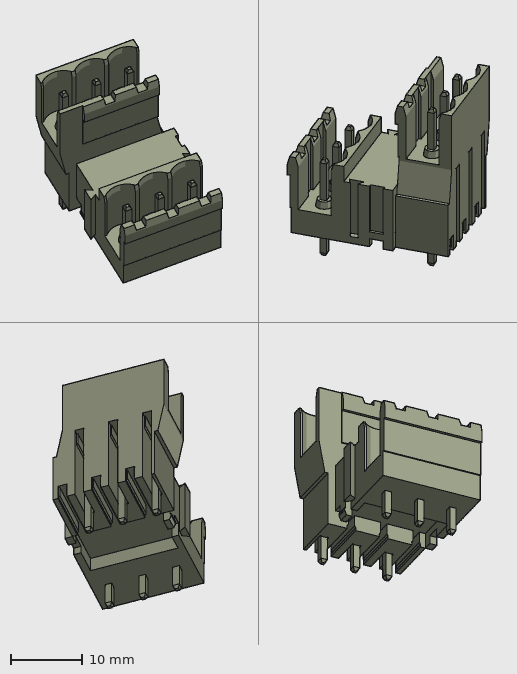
import cadquery as cq

PITCH = 5.08
PIN_COUNT = 3
ROW_LENGTH = PIN_COUNT * PITCH
SHIFT_X = 3 * PITCH
SHIFT_Y = PITCH / 2
TOP_Z = 22.0
DROP_Z = 9.8

FLOOR_Z = 13.7
PIN_X = 3.87
SOCKET_WIDTH = 7.9
LEFT_WALL = 1.9
LEFT_LEAD_WIDTH = 0.28
LEFT_LEAD_HEIGHT = 0.95
SCALLOP_RADIUS = 2.97
SCALLOP_CHORD_MARGIN = 0.32
RIGHT_WALL_X = 6.85
RIGHT_LEAD_WIDTH = 0.41
RIGHT_LEAD_HEIGHT = 1.5
WALL_GROOVE_WIDTH = 2.0
RIB_X = 8.09
RIB_BOTTOM_Z = 13.8
HOOK_X = 8.5
HOOK_BOTTOM_Z = 19.0
HOOK_LEAD_WIDTH = 0.36
HOOK_LEAD_HEIGHT = 1.3
UPPER_HOOK_START_Y = 3.5
NOTCH_DEPTH = 1.0
NOTCH_BOTTOM_WIDTH = 1.42
NOTCH_TOP_WIDTH = 1.8

PIN_SIZE = 1.0
PIN_TIP_SIZE = 0.5
PIN_TIP_HEIGHT = 0.5
PIN_TOP_GAP = 0.85
PIN_BOTTOM_Z = -4.1
HUB_BOTTOM_RADIUS = 1.24
HUB_TOP_RADIUS = 1.02
HUB_HEIGHT = 1.05

SHEAR_TOP_Z = 13.2
SHEAR_BOTTOM_Z = 8.3
SHEAR_OFFSET = 0.9
PEDESTAL_OFFSET = 1.42

SLOT_WIDTH = 1.34
SLOT_FLARE_HEIGHT = 0.3
TALL_SLOT_TOP_Z = 12.5
TALL_SLOT_FLARE_Z = 10.35
TALL_SLOT_DEPTH = 0.75
SHORT_SLOT_FLARE_Z = 0.45
SHORT_SLOT_DEPTH = 0.3

LINK_TOP_Z = 9.75
CAVITY_TOP_Z = 2.4
CAVITY_WALL = 1.0
CUTOUT_END_X = 12.85

LATCH_START_X = 9.42
LATCH_END_X = 11.2
NOSE_REACH = 0.15
NOSE_TOP_Z = 1.1
NOSE_EDGE_Z = 0.7
NOSE_UNDERCUT = 0.27
RECEIVER_START_X = 9.33
RECEIVER_END_X = 11.4
RECEIVER_TOP_Z = 1.28
RECEIVER_NOTCH_DEPTH = 0.45
DOVETAIL_X = 13.7
DOVETAIL_BOTTOM_Z = 1.1
DOVETAIL_TIP_WIDTH = 2.08
DOVETAIL_NECK_WIDTH = 0.9
DOVETAIL_DEPTH = 1.02
GROOVE_TIP_WIDTH = 2.14
GROOVE_NECK_WIDTH = 1.12
GROOVE_DEPTH = 0.92

LINK_FRONT_Y = SHIFT_Y
LINK_BACK_Y = SHIFT_Y + ROW_LENGTH
PIN_YS = [PITCH * (i + 0.5) for i in range(PIN_COUNT)]
GAP_YS = [PITCH * i for i in range(1, PIN_COUNT)]


def box(x0, x1, y0, y1, z0, z1):
    return cq.Workplane("XY").box(x1 - x0, y1 - y0, z1 - z0, centered=False).translate((x0, y0, z0))


def along_y(points, y0, y1):
    """Prism of an XZ outline from y0 to y1."""
    return cq.Workplane("XZ", origin=(0, y0, 0)).polyline(points).close().extrude(y0 - y1)


def along_x(points, x0, x1):
    """Prism of a YZ outline from x0 to x1."""
    return cq.Workplane("YZ", origin=(x0, 0, 0)).polyline(points).close().extrude(x1 - x0)


def along_z(points, z0, z1):
    """Prism of an XY outline from z0 to z1."""
    return cq.Workplane("XY", origin=(0, 0, z0)).polyline(points).close().extrude(z1 - z0)


def cone(y, radius_bottom, radius_top, z0, height):
    solid = cq.Solid.makeCone(radius_bottom, radius_top, height, cq.Vector(PIN_X, y, z0))
    return cq.Workplane(solid)


def trapezoid(center, y_wide, y_narrow, wide, narrow):
    return [
        (center - wide / 2, y_wide),
        (center + wide / 2, y_wide),
        (center + narrow / 2, y_narrow),
        (center - narrow / 2, y_narrow),
    ]


def left_wall_scallops():
    """Space swept by the round plug contacts, widening at the top."""
    lead_z = TOP_Z - LEFT_LEAD_HEIGHT
    half_chord = PITCH / 2 - SCALLOP_CHORD_MARGIN
    space = None
    for y in PIN_YS:
        round_space = cq.Workplane("XY", origin=(PIN_X, y, FLOOR_Z)).circle(SCALLOP_RADIUS)
        round_space = round_space.extrude(TOP_Z - FLOOR_Z)
        lead = cone(y, SCALLOP_RADIUS, SCALLOP_RADIUS + LEFT_LEAD_WIDTH, lead_z, LEFT_LEAD_HEIGHT)
        limit = box(0, PIN_X, y - half_chord, y + half_chord, FLOOR_Z, TOP_Z)
        scallop = round_space.union(lead).intersect(limit)
        space = scallop if space is None else space.union(scallop)
    return space


def socket(base_z, hook_start_y):
    """Open-ended plug socket standing on base_z."""
    body = box(0, SOCKET_WIDTH, 0, ROW_LENGTH, base_z, TOP_Z)
    hook = along_y(
        [
            (RIGHT_WALL_X, RIB_BOTTOM_Z),
            (RIB_X, RIB_BOTTOM_Z),
            (RIB_X, HOOK_BOTTOM_Z),
            (HOOK_X, HOOK_BOTTOM_Z),
            (HOOK_X, TOP_Z - HOOK_LEAD_HEIGHT),
            (HOOK_X - HOOK_LEAD_WIDTH, TOP_Z),
            (RIGHT_WALL_X, TOP_Z),
        ],
        hook_start_y,
        ROW_LENGTH,
    )
    channel = along_y(
        [
            (LEFT_WALL, FLOOR_Z),
            (RIGHT_WALL_X, FLOOR_Z),
            (RIGHT_WALL_X, TOP_Z - RIGHT_LEAD_HEIGHT),
            (RIGHT_WALL_X + RIGHT_LEAD_WIDTH, TOP_Z),
            (LEFT_WALL - LEFT_LEAD_WIDTH, TOP_Z),
            (LEFT_WALL, TOP_Z - LEFT_LEAD_HEIGHT),
        ],
        0,
        ROW_LENGTH,
    )
    body = body.union(hook).cut(channel).cut(left_wall_scallops())
    groove_end_x = RIGHT_WALL_X + RIGHT_LEAD_WIDTH
    for y in GAP_YS:
        half = WALL_GROOVE_WIDTH / 2
        body = body.cut(box(PIN_X, groove_end_x, y - half, y + half, FLOOR_Z, TOP_Z))
    for y in PIN_YS:
        if y > hook_start_y:
            outline = trapezoid(y, TOP_Z, TOP_Z - NOTCH_DEPTH, NOTCH_TOP_WIDTH, NOTCH_BOTTOM_WIDTH)
            body = body.cut(along_x(outline, PIN_X, HOOK_X))
    return body


def pin_tip(y, z, direction):
    base = cq.Workplane("XY", origin=(PIN_X, y, z)).rect(PIN_SIZE, PIN_SIZE)
    return base.workplane(offset=direction * PIN_TIP_HEIGHT).rect(PIN_TIP_SIZE, PIN_TIP_SIZE).loft()


def pin(y, bottom_z):
    """Square pin with blunt points and a conical hub on the socket floor."""
    half = PIN_SIZE / 2
    shaft_bottom = bottom_z + PIN_TIP_HEIGHT
    shaft_top = TOP_Z - PIN_TOP_GAP - PIN_TIP_HEIGHT
    shaft = box(PIN_X - half, PIN_X + half, y - half, y + half, shaft_bottom, shaft_top)
    hub = cone(y, HUB_BOTTOM_RADIUS, HUB_TOP_RADIUS, FLOOR_Z, HUB_HEIGHT)
    return shaft.union(pin_tip(y, shaft_top, 1)).union(pin_tip(y, shaft_bottom, -1)).union(hub)


def add_pins(body, bottom_z):
    for y in PIN_YS:
        body = body.union(pin(y, bottom_z))
    return body


def pedestal():
    """Base of the upper row, leaning towards +Y on its way down."""
    outline = [
        (0, SHEAR_TOP_Z),
        (SHEAR_OFFSET, SHEAR_BOTTOM_Z),
        (PEDESTAL_OFFSET, SHEAR_BOTTOM_Z),
        (PEDESTAL_OFFSET, 0),
        (PEDESTAL_OFFSET + ROW_LENGTH, 0),
        (PEDESTAL_OFFSET + ROW_LENGTH, SHEAR_BOTTOM_Z),
        (SHEAR_OFFSET + ROW_LENGTH, SHEAR_BOTTOM_Z),
        (ROW_LENGTH, SHEAR_TOP_Z),
    ]
    return along_x(outline, 0, SOCKET_WIDTH)


def slot(y, depth, end_x, flare_z, top_z):
    """Slot open at the outer face and below, narrowing to pin width above its flare."""
    wide = SLOT_WIDTH / 2
    narrow = PIN_SIZE / 2
    mouth = box(0, depth, y - wide, y + wide, 0, top_z)
    inner = along_x(
        [
            (y - wide, 0),
            (y + wide, 0),
            (y + wide, flare_z),
            (y + narrow, flare_z + SLOT_FLARE_HEIGHT),
            (y + narrow, top_z),
            (y - narrow, top_z),
            (y - narrow, flare_z + SLOT_FLARE_HEIGHT),
            (y - wide, flare_z),
        ],
        depth,
        end_x,
    )
    return mouth.union(inner)


def upper_row():
    body = socket(SHEAR_TOP_Z, UPPER_HOOK_START_Y).union(pedestal())
    pin_back_x = PIN_X + PIN_SIZE / 2
    for y in PIN_YS:
        body = body.cut(slot(y, TALL_SLOT_DEPTH, pin_back_x, TALL_SLOT_FLARE_Z, TALL_SLOT_TOP_Z))
        short_y = y + SHIFT_Y
        body = body.cut(slot(short_y, SHORT_SLOT_DEPTH, SOCKET_WIDTH, SHORT_SLOT_FLARE_Z, CAVITY_TOP_Z))
    return add_pins(body, PIN_BOTTOM_Z)


def lower_row():
    body = add_pins(socket(DROP_Z, 0), PIN_BOTTOM_Z + DROP_Z)
    return body.translate((SHIFT_X, SHIFT_Y, -DROP_Z))


def latch():
    """Arm hanging in the front cut-out with an outward nose."""
    back_y = LINK_FRONT_Y + CAVITY_WALL
    nose_y = LINK_FRONT_Y - NOSE_REACH
    outline = [
        (back_y, CAVITY_TOP_Z),
        (LINK_FRONT_Y, CAVITY_TOP_Z),
        (LINK_FRONT_Y, NOSE_TOP_Z),
        (nose_y, NOSE_TOP_Z),
        (nose_y, NOSE_EDGE_Z),
        (nose_y + NOSE_UNDERCUT, 0),
        (back_y, 0),
    ]
    return along_x(outline, LATCH_START_X, LATCH_END_X)


def link_block():
    """Hollow block joining the rows, with side-to-side coupling features."""
    inner_front_y = LINK_FRONT_Y + CAVITY_WALL
    inner_back_y = PEDESTAL_OFFSET + ROW_LENGTH
    body = box(SOCKET_WIDTH, SHIFT_X, LINK_FRONT_Y, LINK_BACK_Y, 0, LINK_TOP_Z)
    body = body.cut(box(SOCKET_WIDTH, SHIFT_X, inner_front_y, inner_back_y, 0, CAVITY_TOP_Z))
    body = body.cut(box(SOCKET_WIDTH, CUTOUT_END_X, LINK_FRONT_Y, inner_front_y, 0, CAVITY_TOP_Z))
    body = body.cut(
        box(RECEIVER_START_X, RECEIVER_END_X, inner_back_y, LINK_BACK_Y, 0, RECEIVER_TOP_Z)
    )
    notch_y = LINK_BACK_Y - RECEIVER_NOTCH_DEPTH
    body = body.cut(
        box(RECEIVER_START_X, RECEIVER_END_X, notch_y, LINK_BACK_Y, CAVITY_TOP_Z, LINK_TOP_Z)
    )
    groove = trapezoid(
        DOVETAIL_X, LINK_BACK_Y - GROOVE_DEPTH, LINK_BACK_Y, GROOVE_TIP_WIDTH, GROOVE_NECK_WIDTH
    )
    body = body.cut(along_z(groove, DOVETAIL_BOTTOM_Z, LINK_TOP_Z))
    dovetail = trapezoid(
        DOVETAIL_X, LINK_FRONT_Y - DOVETAIL_DEPTH, LINK_FRONT_Y, DOVETAIL_TIP_WIDTH, DOVETAIL_NECK_WIDTH
    )
    return body.union(along_z(dovetail, DOVETAIL_BOTTOM_Z, LINK_TOP_Z)).union(latch())


result = upper_row().union(link_block()).union(lower_row()).clean()